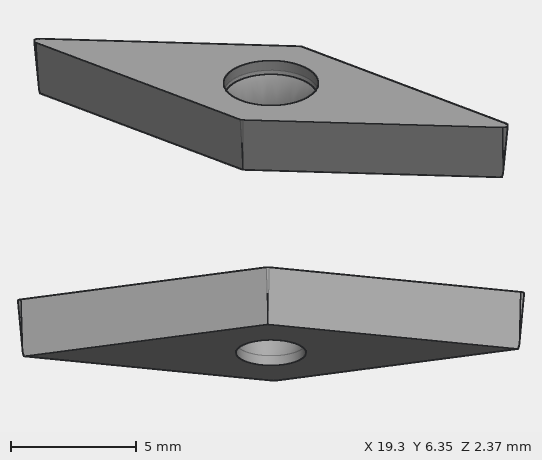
import cadquery as cq
import math

thickness = 2.37
width = 6.35
tip_angle = math.radians(35)
nose_radius = 0.2
clearance_angle = math.radians(5)

bore_diameter = 2.8
mouth_diameter = 3.78
mouth_depth = 0.42
lip_width = 0.04
lip_depth = 0.17
seat_bottom_depth = 1.95


def rhombus_points(inset):
    """Corners of the rhombus after moving every side inward by inset."""
    height = width - 2 * inset
    side = height / math.sin(tip_angle)
    lean = height / math.tan(tip_angle)
    tip_x = (side + lean) / 2
    corner_x = (side - lean) / 2
    y = height / 2
    return [(-tip_x, -y), (corner_x, -y), (tip_x, y), (-corner_x, y)]


def make_sharp_base(bottom_inset, top_inset, height):
    """Rhombic frustum standing on Z = 0, with sharp corners."""
    return (
        cq.Workplane("XY")
        .polyline(rhombus_points(bottom_inset))
        .close()
        .workplane(offset=height)
        .polyline(rhombus_points(top_inset))
        .close()
        .loft(ruled=True, combine=True)
    )


def make_body():
    """Flanks lean inward toward the bottom; corner cones taper to a point."""
    cone_depth = nose_radius / math.tan(clearance_angle)
    bottom_inset = thickness * math.tan(clearance_angle)
    apex_z = thickness - cone_depth
    body = make_sharp_base(bottom_inset, nose_radius, apex_z)

    core_points = rhombus_points(nose_radius)
    upper = cq.Workplane("XY", origin=(0, 0, apex_z)).polyline(core_points).close().extrude(cone_depth)
    for i, start in enumerate(core_points):
        end = core_points[(i + 1) % len(core_points)]
        along = cq.Vector(end[0] - start[0], end[1] - start[1], 0)
        flank_plane = cq.Plane(origin=(*start, apex_z), xDir=(0, 0, 1), normal=along)
        flank = (
            cq.Workplane(flank_plane)
            .polyline([(0, 0), (cone_depth, nose_radius), (cone_depth, 0)])
            .close()
            .extrude(along.Length)
        )
        cone = cq.Solid.makeCone(0, nose_radius, cone_depth, pnt=cq.Vector(*start, apex_z))
        upper = upper.union(flank).union(cone)
    return body.union(upper).clean()


def make_hole():
    """Revolved hole profile with a seat that ends tangent to the bore."""
    bore_radius = bore_diameter / 2
    mouth_radius = mouth_diameter / 2
    seat_radius = mouth_radius - lip_width
    mouth_z = thickness - mouth_depth
    seat_top_z = mouth_z - lip_depth
    seat_bottom_z = thickness - seat_bottom_depth
    return (
        cq.Workplane("XZ")
        .moveTo(0, 0)
        .lineTo(bore_radius, 0)
        .lineTo(bore_radius, seat_bottom_z)
        .tangentArcPoint((seat_radius, seat_top_z), relative=False)
        .lineTo(mouth_radius, mouth_z)
        .lineTo(mouth_radius, thickness)
        .lineTo(0, thickness)
        .close()
        .revolve(360, (0, 0, 0), (0, 1, 0))
    )


result = make_body().cut(make_hole())